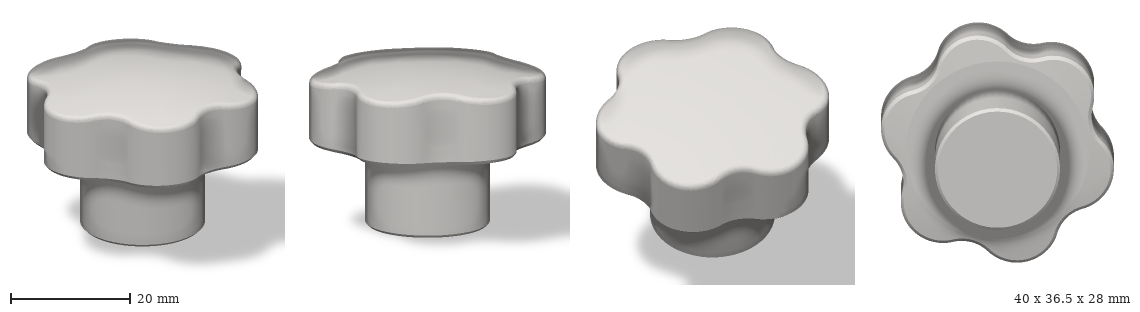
import cadquery as cq
import math

lobe_count = 6
tip_radius = 20.0
total_height = 28.0

lobe_radius = 7.0
lobe_center_radius = tip_radius - lobe_radius
lobe_half_sweep = 60.0
half_pitch = 180.0 / lobe_count
valley_center_radius = (
    lobe_center_radius
    * math.sin(math.radians(lobe_half_sweep))
    / math.sin(math.radians(lobe_half_sweep - half_pitch))
)
center_spacing = (
    lobe_center_radius
    * math.sin(math.radians(half_pitch))
    / math.sin(math.radians(lobe_half_sweep - half_pitch))
)
valley_floor_radius = valley_center_radius - (center_spacing - lobe_radius)

head_base_height = 13.9
dome_radius = 79.98
flat_base_radius = 15.4
rim_rise = 0.65
top_fillet = 1.0
base_chamfer = 0.55
envelope_margin = 2.0

stem_diameter = 21.0
stem_chamfer = 0.48


def polar(radius, degrees):
    angle = math.radians(degrees)
    return radius * math.cos(angle), radius * math.sin(angle)


def lobe_end(lobe_angle, side):
    """Point where a lobe meets its valley; side is -1 or +1."""
    center_x, center_y = polar(lobe_center_radius, lobe_angle)
    offset_x, offset_y = polar(lobe_radius, lobe_angle + side * lobe_half_sweep)
    return center_x + offset_x, center_y + offset_y


def make_grip_prism():
    pitch = 2 * half_pitch
    outline = cq.Workplane("XY").workplane(offset=head_base_height)
    outline = outline.moveTo(*lobe_end(0, -1))
    for index in range(lobe_count):
        angle = index * pitch
        outline = outline.threePointArc(polar(tip_radius, angle), lobe_end(angle, 1))
        outline = outline.threePointArc(
            polar(valley_floor_radius, angle + half_pitch),
            lobe_end(angle + pitch, -1),
        )
    return outline.close().extrude(total_height - head_base_height)


def make_head_envelope():
    """Turned body: flat base, conical rim and domed top."""
    rim_slope = rim_rise / (tip_radius - flat_base_radius)
    outer_radius = tip_radius + envelope_margin
    middle_radius = outer_radius / 2

    def dome_height(radius):
        return total_height - dome_radius + math.sqrt(dome_radius**2 - radius**2)

    return (
        cq.Workplane("XZ")
        .moveTo(0, head_base_height)
        .lineTo(flat_base_radius, head_base_height)
        .lineTo(outer_radius, head_base_height + rim_slope * (outer_radius - flat_base_radius))
        .lineTo(outer_radius, dome_height(outer_radius))
        .threePointArc((middle_radius, dome_height(middle_radius)), (0, total_height))
        .close()
        .revolve(360, (0, 0, 0), (0, 1, 0))
    )


def make_head():
    head = make_grip_prism().intersect(make_head_envelope())
    head = head.faces(">Z").edges("not %LINE").fillet(top_fillet)
    low_region = cq.selectors.BoxSelector(
        (-tip_radius, -tip_radius, head_base_height - rim_rise),
        (tip_radius, tip_radius, head_base_height + 2 * rim_rise),
    )
    rim_edges = head.edges(low_region).edges("not (%CIRCLE or %LINE)")
    return rim_edges.chamfer(base_chamfer)


def make_stem():
    stem = cq.Workplane("XY").circle(stem_diameter / 2).extrude(head_base_height + base_chamfer)
    return stem.faces("<Z").chamfer(stem_chamfer)


result = make_head().union(make_stem())